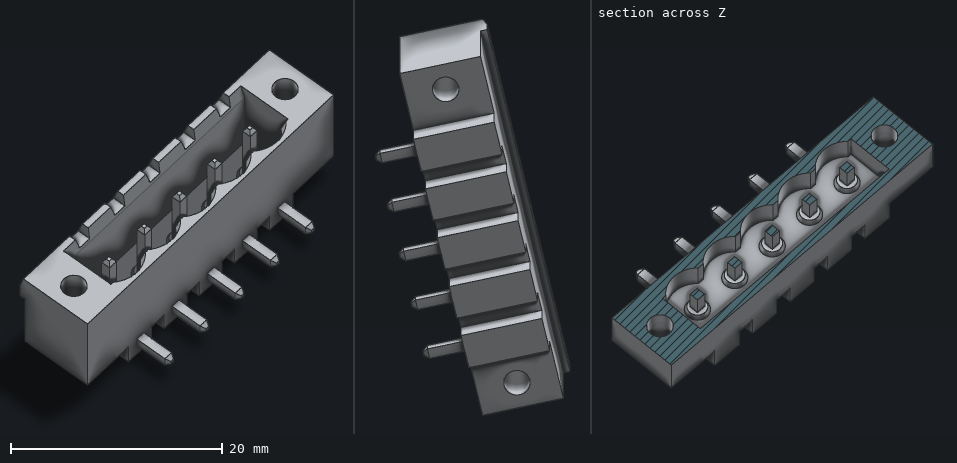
import cadquery as cq


PIN_COUNT = 5
PITCH = 5.1
PIN_AXIS_X = 4.6
PIN_YS = [(index - (PIN_COUNT - 1) / 2) * PITCH for index in range(PIN_COUNT)]

LENGTH = 35.55
HEIGHT = 12.2
BACK_X = 8.5
WALL_X = 0.65
BODY_BOTTOM_Z = 2.4
LIP_BOTTOM_Z = 9.15
LIP_BEVEL_WIDTH = 0.43
LIP_BEVEL_DEPTH = 1.5
MOUNT_HOLE_DIAMETER = 2.5
MOUNT_HOLE_Y = PIN_YS[-1] + PITCH

FEET_LENGTH = 23.75
FOOT_GAP = 1.8
FOOT_GAP_TOP_Z = 2.17

CAVITY_LENGTH = 25.6
CAVITY_FLOOR_Z = 3.55
CAVITY_FRONT_X = 1.65
CAVITY_NOSE_X = 6.6
SCALLOP_RADIUS = 3.0
MOUTH_FLARE = 0.45
MOUTH_DEPTH = 1.5

NOTCH_TOP_WIDTH = 1.85
NOTCH_FLOOR_WIDTH = 1.42
NOTCH_DEPTH = 1.17

PIN_WIDTH = 1.0
TIP_WIDTH = 0.4
TIP_LENGTH = 0.5
CONTACT_TOP_Z = 11.27
TAIL_Z = 1.9
TAIL_END_X = 12.5
COLLAR_DIAMETER = 2.5
COLLAR_TOP_DIAMETER = 2.0
COLLAR_HEIGHT = 0.5


def extrude_along_y(points, length):
    """Prism of an XZ outline, centred on Y = 0."""
    return cq.Workplane("XZ").polyline(points).close().extrude(length / 2, both=True)


def box_between(x_range, y_range, z_range):
    """Box spanning the given start and end on each axis."""
    size = [end - start for start, end in (x_range, y_range, z_range)]
    corner = (x_range[0], y_range[0], z_range[0])
    return cq.Workplane("XY").box(*size, centered=False).translate(corner)


def housing():
    """Lipped block with separate feet and two mounting holes."""
    body = extrude_along_y(
        [
            (WALL_X, BODY_BOTTOM_Z),
            (BACK_X, BODY_BOTTOM_Z),
            (BACK_X, HEIGHT),
            (LIP_BEVEL_WIDTH, HEIGHT),
            (0, HEIGHT - LIP_BEVEL_DEPTH),
            (0, LIP_BOTTOM_Z),
            (WALL_X, LIP_BOTTOM_Z),
        ],
        LENGTH,
    )
    half_feet = FEET_LENGTH / 2
    body = body.union(box_between((WALL_X, BACK_X), (-half_feet, half_feet), (0, BODY_BOTTOM_Z)))
    for pin_y in PIN_YS[:-1]:
        gap_y = pin_y + PITCH / 2
        gap_range = (gap_y - FOOT_GAP / 2, gap_y + FOOT_GAP / 2)
        body = body.cut(box_between((0, BACK_X), gap_range, (0, FOOT_GAP_TOP_Z)))
    holes = (
        cq.Workplane("XY")
        .pushPoints([(PIN_AXIS_X, -MOUNT_HOLE_Y), (PIN_AXIS_X, MOUNT_HOLE_Y)])
        .circle(MOUNT_HOLE_DIAMETER / 2)
        .extrude(HEIGHT)
    )
    return body.cut(holes)


def cavity():
    """Box-like pocket with one flared scallop around each pin axis."""
    mouth_z = HEIGHT - MOUTH_DEPTH
    pocket = extrude_along_y(
        [
            (CAVITY_FRONT_X, CAVITY_FLOOR_Z),
            (CAVITY_NOSE_X, CAVITY_FLOOR_Z),
            (CAVITY_NOSE_X, mouth_z),
            (CAVITY_NOSE_X + MOUTH_FLARE, HEIGHT),
            (CAVITY_FRONT_X - MOUTH_FLARE, HEIGHT),
            (CAVITY_FRONT_X, mouth_z),
        ],
        CAVITY_LENGTH,
    )
    scallop = (
        cq.Workplane("XZ")
        .polyline(
            [
                (0, CAVITY_FLOOR_Z),
                (SCALLOP_RADIUS, CAVITY_FLOOR_Z),
                (SCALLOP_RADIUS, mouth_z),
                (SCALLOP_RADIUS + MOUTH_FLARE, HEIGHT),
                (0, HEIGHT),
            ]
        )
        .close()
        .revolve(360, (0, 0), (0, 1))
    )
    half_length = CAVITY_LENGTH / 2
    scallop_zone = box_between(
        (PIN_AXIS_X, BACK_X), (-half_length, half_length), (CAVITY_FLOOR_Z, HEIGHT)
    )
    for pin_y in PIN_YS:
        pocket = pocket.union(scallop.translate((PIN_AXIS_X, pin_y, 0)).intersect(scallop_zone))
    return pocket


def notch(pin_y):
    """Tapered cutter crossing the lip beside one pin."""
    return (
        cq.Workplane("YZ")
        .polyline(
            [
                (pin_y - NOTCH_TOP_WIDTH / 2, HEIGHT),
                (pin_y - NOTCH_FLOOR_WIDTH / 2, HEIGHT - NOTCH_DEPTH),
                (pin_y + NOTCH_FLOOR_WIDTH / 2, HEIGHT - NOTCH_DEPTH),
                (pin_y + NOTCH_TOP_WIDTH / 2, HEIGHT),
            ]
        )
        .close()
        .extrude(CAVITY_FRONT_X)
    )


def square_pin(length):
    """Square bar along +Z with a blunt pyramid tip at the far end."""
    shank_length = length - TIP_LENGTH
    shank = cq.Workplane("XY").rect(PIN_WIDTH, PIN_WIDTH).extrude(shank_length)
    tip = (
        cq.Workplane("XY", origin=(0, 0, shank_length))
        .rect(PIN_WIDTH, PIN_WIDTH)
        .workplane(offset=TIP_LENGTH)
        .rect(TIP_WIDTH, TIP_WIDTH)
        .loft()
    )
    return shank.union(tip)


def contact(pin_y):
    """Upright mating pin with its collar, and the tail leaving through the back."""
    upright = square_pin(CONTACT_TOP_Z - TAIL_Z).translate((PIN_AXIS_X, pin_y, TAIL_Z))
    tail = (
        square_pin(TAIL_END_X - PIN_AXIS_X)
        .rotate((0, 0, 0), (0, 1, 0), 90)
        .translate((PIN_AXIS_X, pin_y, TAIL_Z))
    )
    collar = cq.Workplane(
        cq.Solid.makeCone(
            COLLAR_DIAMETER / 2,
            COLLAR_TOP_DIAMETER / 2,
            COLLAR_HEIGHT,
            cq.Vector(PIN_AXIS_X, pin_y, CAVITY_FLOOR_Z),
        )
    )
    return upright.union(tail).union(collar)


result = housing().cut(cavity())
for y in PIN_YS:
    result = result.cut(notch(y))
    result = result.union(contact(y))